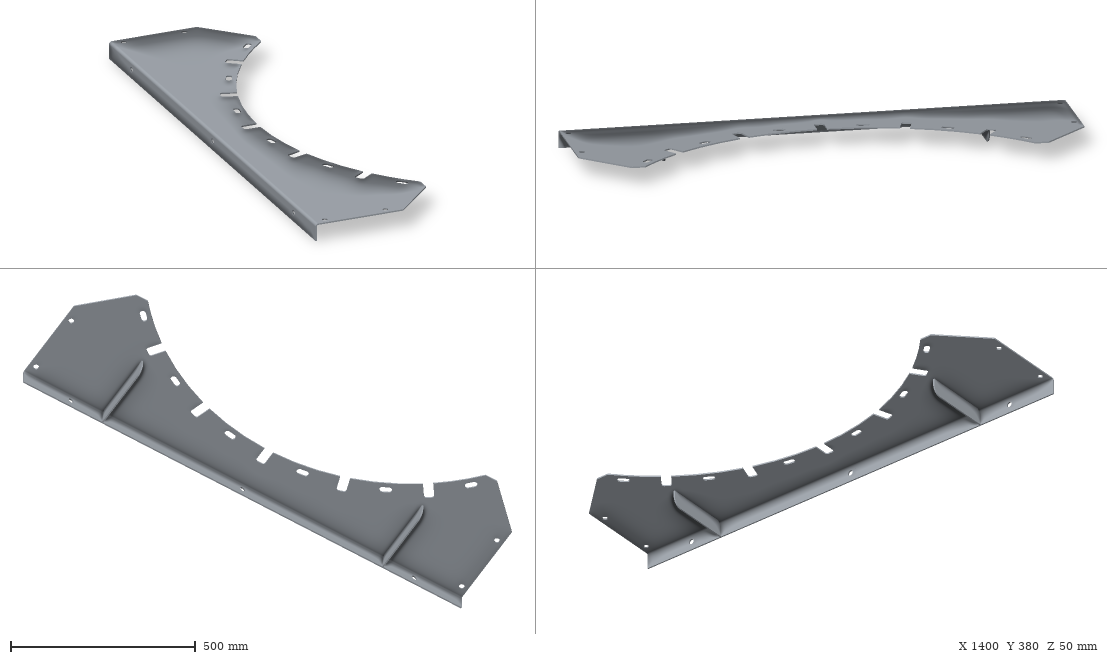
import cadquery as cq
import math

LENGTH = 1400.0
DEPTH = 380.0
HEIGHT = 50.0
THICKNESS = 4.0
BEND_OUTER_RADIUS = 2 * THICKNESS
BEND_INNER_RADIUS = BEND_OUTER_RADIUS - THICKNESS
HALF_LENGTH = LENGTH / 2
PLATE_UNDERSIDE = HEIGHT - THICKNESS

SHOULDER_Y = 259.0
TIP_OUTER_X = 577.0
CRADLE_RADIUS = 720.0
CRADLE_BOTTOM_Y = 136.0
CRADLE_CENTER_Y = CRADLE_BOTTOM_Y + CRADLE_RADIUS
TIP_INNER_X = math.sqrt(CRADLE_RADIUS**2 - (CRADLE_CENTER_Y - DEPTH) ** 2)

NOTCH_ANGLE_STEP = 18.0
NOTCH_ANGLES = [step * NOTCH_ANGLE_STEP for step in (-2, -1, 0, 1, 2)]
NOTCH_WIDTH = 28.0
NOTCH_BOTTOM_RADIUS = 766.0
NOTCH_CORNER_RADIUS = 7.0
SLOT_ANGLES = [step * NOTCH_ANGLE_STEP for step in (-2.5, -1.5, -0.5, 0.5, 1.5, 2.5)]
SLOT_CENTER_RADIUS = 740.0
SLOT_LENGTH = 35.0
SLOT_WIDTH = 17.0

HOLE_DIAMETER = 15.0
PLATE_HOLE_X = 680.0
PLATE_HOLE_YS = (35.0, 214.0)
FLANGE_HOLE_X = 549.0
FLANGE_HOLE_Z = 25.0

RIB_X = 448.0
RIB_THICKNESS = THICKNESS
RIB_END_Y = 206.0
RIB_CORNER_RADIUS = 30.0
RIB_BEND_CLEARANCE = 13.0


def bent_blank():
    """L-shaped sheet of full depth and length with a rounded bend."""
    return (
        cq.Workplane("YZ")
        .moveTo(0, 0)
        .lineTo(0, HEIGHT - BEND_OUTER_RADIUS)
        .radiusArc((BEND_OUTER_RADIUS, HEIGHT), BEND_OUTER_RADIUS)
        .lineTo(DEPTH, HEIGHT)
        .lineTo(DEPTH, PLATE_UNDERSIDE)
        .lineTo(BEND_OUTER_RADIUS, PLATE_UNDERSIDE)
        .radiusArc((THICKNESS, HEIGHT - BEND_OUTER_RADIUS), -BEND_INNER_RADIUS)
        .lineTo(THICKNESS, 0)
        .close()
        .extrude(HALF_LENGTH, both=True)
    )


def plate_outline():
    """Upright prism of the plate outline: sloped shoulders and the cradle arc."""
    return (
        cq.Workplane("XY")
        .moveTo(-HALF_LENGTH, 0)
        .lineTo(-HALF_LENGTH, SHOULDER_Y)
        .lineTo(-TIP_OUTER_X, DEPTH)
        .lineTo(-TIP_INNER_X, DEPTH)
        .threePointArc((0, CRADLE_BOTTOM_Y), (TIP_INNER_X, DEPTH))
        .lineTo(TIP_OUTER_X, DEPTH)
        .lineTo(HALF_LENGTH, SHOULDER_Y)
        .lineTo(HALF_LENGTH, 0)
        .close()
        .extrude(HEIGHT)
    )


def turned_about_cradle(shape, angle):
    """Move a cutter from the bottom of the cradle to an angle along its arc."""
    return shape.rotate((0, CRADLE_CENTER_Y, 0), (0, CRADLE_CENTER_Y, 1), angle)


def notch_cutter(angle):
    """Radial notch with rounded inner corners, open towards the cradle center."""
    cutter_length = 2 * (NOTCH_BOTTOM_RADIUS - CRADLE_RADIUS)
    cutter = (
        cq.Workplane("XY")
        .center(0, CRADLE_CENTER_Y - NOTCH_BOTTOM_RADIUS + cutter_length / 2)
        .rect(NOTCH_WIDTH, cutter_length)
        .extrude(HEIGHT)
        .edges("|Z and <Y")
        .fillet(NOTCH_CORNER_RADIUS)
    )
    return turned_about_cradle(cutter, angle)


def slot_cutter(angle):
    """Slot lying along the tangent of the cradle arc."""
    cutter = (
        cq.Workplane("XY")
        .center(0, CRADLE_CENTER_Y - SLOT_CENTER_RADIUS)
        .slot2D(SLOT_LENGTH, SLOT_WIDTH)
        .extrude(HEIGHT)
    )
    return turned_about_cradle(cutter, angle)


def plate_hole_cutters():
    """Two holes near each end of the plate."""
    points = [(x, y) for x in (-PLATE_HOLE_X, PLATE_HOLE_X) for y in PLATE_HOLE_YS]
    return cq.Workplane("XY").pushPoints(points).circle(HOLE_DIAMETER / 2).extrude(HEIGHT)


def flange_hole_cutters():
    """Three holes along the flange."""
    points = [(x, FLANGE_HOLE_Z) for x in (-FLANGE_HOLE_X, 0, FLANGE_HOLE_X)]
    return cq.Workplane("XZ").pushPoints(points).circle(HOLE_DIAMETER / 2).extrude(-THICKNESS)


def make_bent_plate():
    """Bent sheet with its outline, notches, slots and round holes."""
    plate = bent_blank().intersect(plate_outline())
    for angle in NOTCH_ANGLES:
        plate = plate.cut(notch_cutter(angle))
    for angle in SLOT_ANGLES:
        plate = plate.cut(slot_cutter(angle))
    return plate.cut(plate_hole_cutters()).cut(flange_hole_cutters())


def make_rib(center_x):
    """Upright rib with a rounded rear corner and a corner clipped clear of the bend."""
    return (
        cq.Workplane("YZ", origin=(center_x, 0, 0))
        .moveTo(THICKNESS, 0)
        .lineTo(THICKNESS, PLATE_UNDERSIDE - RIB_BEND_CLEARANCE)
        .lineTo(THICKNESS + RIB_BEND_CLEARANCE, PLATE_UNDERSIDE)
        .lineTo(RIB_END_Y, PLATE_UNDERSIDE)
        .lineTo(RIB_END_Y, RIB_CORNER_RADIUS)
        .radiusArc((RIB_END_Y - RIB_CORNER_RADIUS, 0), RIB_CORNER_RADIUS)
        .close()
        .extrude(RIB_THICKNESS / 2, both=True)
    )


bent_plate = make_bent_plate()
ribs = [make_rib(center_x) for center_x in (-RIB_X, RIB_X)]

result = cq.Compound.makeCompound([bent_plate.val(), *[rib.val() for rib in ribs]])